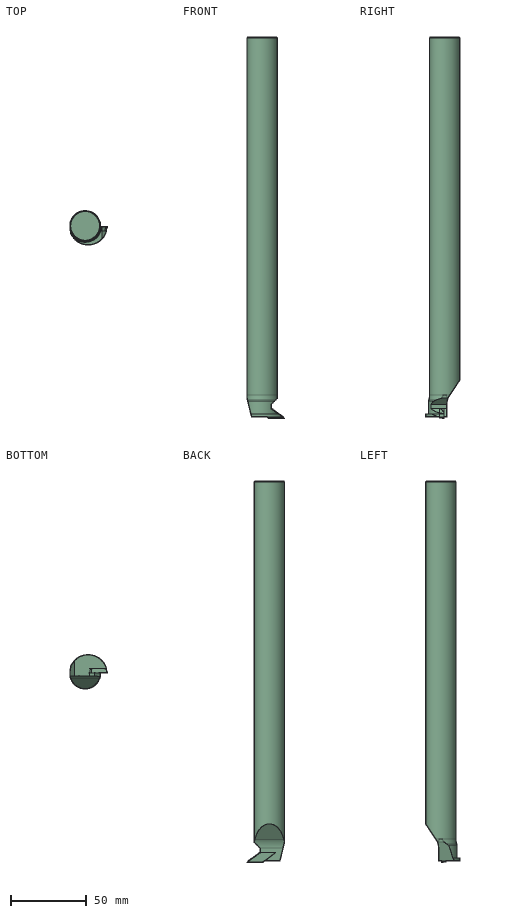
import cadquery as cq
import math

total_length = 251.2
shank_radius = 10.0
end_chamfer = 0.5
blend_radius = 10.0

head_bottom = 1.0
flare_radius = 10.3
flare_top = 15.5
neck_radius = 10.8
neck_top = 11.3
collar_top = 12.5
flange_radius = 12.5
flange_offset = 2.0
flange_top = 3.0

face_y = 1.5
runout_start = 12.5
runout_end = 25.5
trim_reach = 50.2
selection_margin = 0.3

back_bottom_x = -7.0
back_top_z = 13.5
throat_x = 6.0
throat_top = 9.3
throat_bottom = 6.5
throat_entry = 13.3
flange_nose_x = 14.0

tip_x = 14.8
insert_side = 10.5
insert_angle = 38.0
insert_top_y = -0.5
insert_thickness = 3.0
insert_relief = 7.0


def disc(radius, bottom, top, center_x=0.0):
    return (
        cq.Workplane("XY", origin=(center_x, 0, bottom))
        .circle(radius)
        .extrude(top - bottom)
    )


def collar():
    """Slight flare and steeper cone that join the shank to the wider neck."""
    return (
        cq.Workplane("XZ")
        .moveTo(0, neck_top)
        .lineTo(neck_radius, neck_top)
        .lineTo(flare_radius, collar_top)
        .lineTo(shank_radius, flare_top)
        .lineTo(0, flare_top)
        .close()
        .revolve(360, (0, 0, 0), (0, 1, 0))
    )


def side_outline():
    """Prism that keeps the back relief, throat and nose of the head."""
    return (
        cq.Workplane("XZ")
        .polyline([
            (-shank_radius, total_length),
            (-shank_radius, back_top_z),
            (back_bottom_x, head_bottom),
            (flange_nose_x, head_bottom),
            (throat_x, throat_bottom),
            (throat_x, throat_top),
            (shank_radius, throat_entry),
            (shank_radius, total_length),
        ])
        .close()
        .extrude(trim_reach, both=True)
    )


def cutting_face_trim():
    """Material removed behind the cutting face, with a rounded run-out."""
    trim = (
        cq.Workplane("YZ")
        .polyline([
            (face_y, -trim_reach),
            (face_y, runout_start),
            (shank_radius, runout_end),
            (trim_reach, runout_end),
            (trim_reach, -trim_reach),
        ])
        .close()
        .extrude(trim_reach, both=True)
    )
    runout_corner = cq.selectors.BoxSelector(
        (-trim_reach - selection_margin, face_y - selection_margin, runout_start - selection_margin),
        (trim_reach + selection_margin, face_y + selection_margin, runout_start + selection_margin),
    )
    return trim.edges(runout_corner).fillet(blend_radius)


def insert_outline(top_y):
    """Rhombus with its sharp corner at the cutting tip."""
    rise = insert_side * math.sin(math.radians(insert_angle))
    run = insert_side * math.cos(math.radians(insert_angle))
    return cq.Workplane("XZ", origin=(0, top_y, 0)).polyline([
        (tip_x, 0),
        (tip_x - run, rise),
        (tip_x - run - insert_side, rise),
        (tip_x - insert_side, 0),
    ]).close()


def insert_clearance():
    """Space above the insert, opened out to the side of the head."""
    depth = face_y - insert_top_y
    over_insert = insert_outline(face_y).extrude(depth)
    beside_insert = cq.Workplane("XY", origin=(throat_x, insert_top_y, 0)).box(
        trim_reach, depth, throat_bottom, centered=False
    )
    return over_insert.union(beside_insert)


def make_insert():
    return insert_outline(insert_top_y).extrude(insert_thickness, taper=insert_relief)


def make_holder(insert):
    shank = disc(shank_radius, head_bottom, total_length).faces(">Z").chamfer(end_chamfer)
    neck = disc(neck_radius, head_bottom, neck_top)
    flange = disc(flange_radius, head_bottom, flange_top, flange_offset)
    blank = shank.union(neck).union(collar()).union(flange)
    holder = blank.intersect(side_outline()).cut(cutting_face_trim())
    return holder.cut(insert_clearance()).cut(insert)


insert = make_insert()
holder = make_holder(insert)
result = cq.Compound.makeCompound([holder.val(), insert.val()])